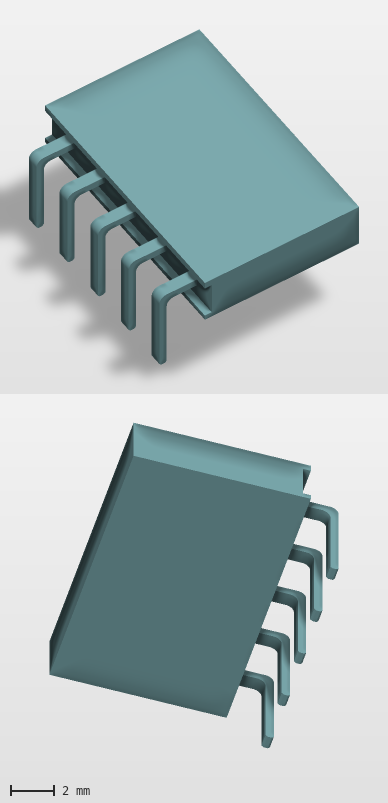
import cadquery as cq

housing_length = 13.21
housing_depth = 8.5
housing_height = 2.5
recess_depth = 0.38
upper_lip = 0.38
lower_lip = 0.28

pin_count = 5
pin_pitch = 2.54
pin_width = 0.64
pin_thickness = 0.4
pin_reach = 1.7
pin_drop = 3.2
pin_top_z = 1.41
bend_radius = 0.4
tip_chamfer = 0.1

recess_y = recess_depth
pin_front_y = -pin_reach
pin_back_y = pin_front_y + pin_thickness
pin_underside_z = pin_top_z - pin_thickness


def make_housing():
    """Block standing on Z = 0 with its lip faces on Y = 0."""
    block = cq.Workplane("XY").box(
        housing_length, housing_depth, housing_height, centered=(True, False, False)
    )
    recess_height = housing_height - upper_lip - lower_lip
    recess = (
        cq.Workplane("XY")
        .box(housing_length, recess_depth, recess_height, centered=(True, False, False))
        .translate((0, 0, lower_lip))
    )
    return block.cut(recess)


def make_pin():
    """Pin centred on X = 0, from the recess floor outward and then down."""
    profile = [
        (recess_y, pin_top_z),
        (pin_front_y, pin_top_z),
        (pin_front_y, -pin_drop),
        (pin_back_y, -pin_drop),
        (pin_back_y, pin_underside_z),
        (recess_y, pin_underside_z),
    ]
    strip = cq.Workplane("YZ").polyline(profile).close().extrude(pin_width / 2, both=True)
    outer_corner = cq.selectors.NearestToPointSelector((0, pin_front_y, pin_top_z))
    inner_corner = cq.selectors.NearestToPointSelector((0, pin_back_y, pin_underside_z))
    bent = strip.edges(outer_corner).fillet(bend_radius)
    bent = bent.edges(inner_corner).fillet(bend_radius)
    return bent.faces("<Z").edges("|X").chamfer(tip_chamfer)


result = make_housing()
pin = make_pin()
first_pin_x = -(pin_count - 1) * pin_pitch / 2
for index in range(pin_count):
    result = result.union(pin.translate((first_pin_x + index * pin_pitch, 0, 0)))